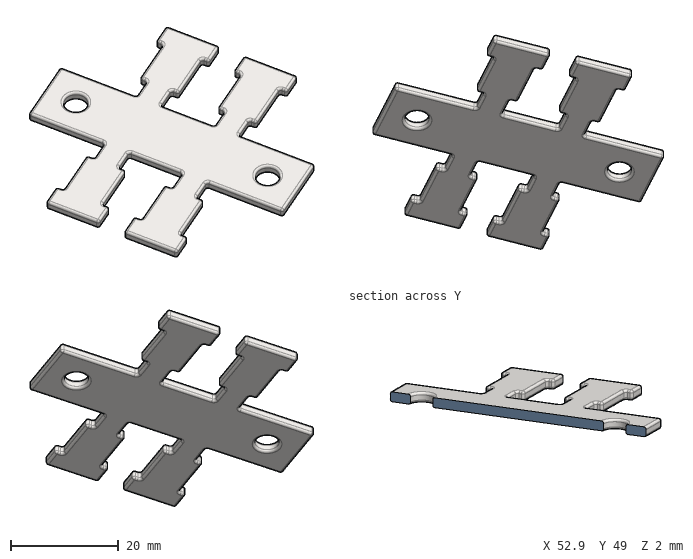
import cadquery as cq

THICKNESS = 2.0
EDGE_RADIUS = 0.5

BAR_LENGTH = 52.9
BAR_WIDTH = 13.0

ARM_SPACING = 16.2
ARM_SPAN = 49.0
HEAD_WIDTH = 11.0
SHANK_WIDTH = 8.0
NECK_WIDTH = 5.0
HEAD_LENGTH = 4.25
SHANK_LENGTH = 9.5

HOLE_DIAMETER = 4.5
HOLE_SPACING = BAR_LENGTH - BAR_WIDTH


def slab(length_x, length_y, center_x=0.0, center_y=0.0):
    """Rectangular piece of the plate, resting on Z = 0."""
    return (
        cq.Workplane("XY")
        .center(center_x, center_y)
        .rect(length_x, length_y)
        .extrude(THICKNESS)
    )


def arm(center_x):
    """Arm through the bar: a narrow neck, a wider shank and a head at each end."""
    body = slab(NECK_WIDTH, ARM_SPAN, center_x)
    head_y = ARM_SPAN / 2 - HEAD_LENGTH / 2
    shank_y = ARM_SPAN / 2 - HEAD_LENGTH - SHANK_LENGTH / 2
    for side in (-1, 1):
        body = body.union(slab(SHANK_WIDTH, SHANK_LENGTH, center_x, side * shank_y))
        body = body.union(slab(HEAD_WIDTH, HEAD_LENGTH, center_x, side * head_y))
    return body


def sharp_plate():
    """Bar and both arms as one flat plate with sharp edges."""
    plate = slab(BAR_LENGTH, BAR_WIDTH)
    for side in (-1, 1):
        plate = plate.union(arm(side * ARM_SPACING / 2))
    return plate.clean()


def drill_holes(plate):
    """Through hole near each end of the bar."""
    return (
        plate.faces(">Z")
        .workplane(origin=(0, 0, 0))
        .pushPoints([(-HOLE_SPACING / 2, 0), (HOLE_SPACING / 2, 0)])
        .hole(HOLE_DIAMETER)
    )


def round_corners(plate):
    """Round the upright corners of the outline, inner and outer alike."""
    return plate.edges("|Z").fillet(EDGE_RADIUS)


def round_rims(plate):
    """Round the outline and hole edges on the top and bottom faces."""
    return plate.faces("|Z").edges().fillet(EDGE_RADIUS)


result = round_rims(drill_holes(round_corners(sharp_plate())))